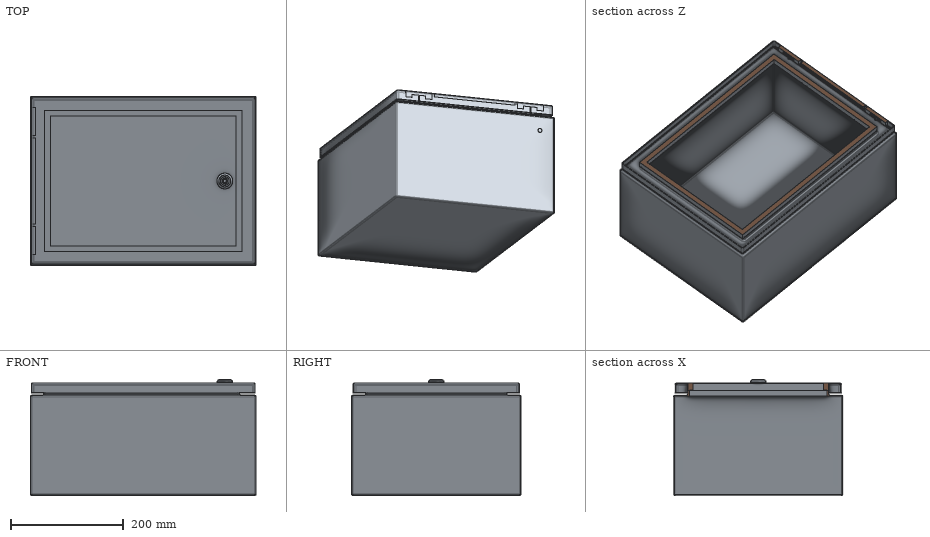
import cadquery as cq

sheet = 1.5
bend_radius = 3.0

box_length = 400.0
box_width = 300.0
box_height = 177.0
box_inner_bend = bend_radius - sheet

neck_hinge_inset = 24.0
neck_lock_inset = 29.5
neck_side_inset = 25.0
neck_top = 185.5
neck_corner = 3.0
neck_wall = 3.0
neck_base_fillet = 3.0

stud_radius = 3.5
stud_length = 6.0
stud_y = -122.5
stud_z = 150.5

door_length = 396.0
door_width = 294.5
door_bottom = 181.5
door_underside = 197.5
door_top = door_underside + sheet
door_height = door_top - door_bottom
door_inner_bend = 3.0

seal_inner_length = 329.0
seal_inner_width = 230.5
seal_width = 10.0

rail_length = 152.0
rail_depth = 6.0
rail_bottom = 193.0
lug_width = 12.0
lug_bottom = 187.5
lug_spacing = 37.5
hinge_y = 105.0
hinge_pin_width = 2.5
hinge_pin_bottom = 184.0
hinge_pin_top = 190.5

lock_x = 144.5
overall_height = 205.0
lock_height = overall_height - door_top
lock_radius = 14.0
lock_edge_height = 1.5
lock_shoulder_bulge = 0.5
lock_top_radius = 10.5
lock_recess_radius = 7.5
lock_recess_depth = 1.0
lock_hole_radius = 5.0
lock_hole_depth = 4.0
lock_pin_radius = 3.0
key_slot_width = 3.0
key_slot_depth = 3.0


def block(x_min, x_max, y_min, y_max, z_min, z_max):
    """Rectangular block between the given limits."""
    return cq.Workplane("XY").box(
        x_max - x_min, y_max - y_min, z_max - z_min, centered=False
    ).translate((x_min, y_min, z_min))


def make_box():
    body = (
        cq.Workplane("XY").box(box_length, box_width, box_height, centered=(True, True, False))
        .edges().fillet(bend_radius)
    )
    cavity = (
        cq.Workplane("XY").workplane(offset=sheet)
        .box(box_length - 2 * sheet, box_width - 2 * sheet, box_height - 2 * sheet,
             centered=(True, True, False))
        .edges().fillet(box_inner_bend)
    )
    neck_x_min = neck_hinge_inset - box_length / 2
    neck_x_max = box_length / 2 - neck_lock_inset
    neck_y = box_width / 2 - neck_side_inset
    neck = block(neck_x_min, neck_x_max, -neck_y, neck_y, box_height - sheet, neck_top)
    neck = neck.edges("|Z").fillet(neck_corner)
    opening = block(neck_x_min + neck_wall, neck_x_max - neck_wall, neck_wall - neck_y, neck_y - neck_wall,
                    box_height - 2 * sheet, neck_top)
    stud = (
        cq.Workplane("YZ", origin=(sheet - box_length / 2, stud_y, stud_z))
        .circle(stud_radius).extrude(stud_length)
    )
    shell = body.cut(cavity).union(neck)
    neck_base = cq.selectors.BoxSelector(
        (neck_x_min - neck_wall, -neck_y - neck_wall, box_height - sheet / 2),
        (neck_x_max + neck_wall, neck_y + neck_wall, box_height + sheet / 2),
    )
    shell = shell.edges(neck_base).fillet(neck_base_fillet)
    return shell.cut(opening).union(stud)


def flange_block(y, width, z_min, z_max):
    """Block centred at y that stands against the inside of the hinge-side flange."""
    x_min = sheet - door_length / 2
    return block(x_min, x_min + rail_depth, y - width / 2, y + width / 2, z_min, z_max)


def make_hinge(y):
    """Plate with a lug below each end and a pin between the lugs."""
    hinge = flange_block(y, lug_spacing, rail_bottom, door_underside)
    for lug_y in (y - lug_spacing / 2, y + lug_spacing / 2):
        hinge = hinge.union(flange_block(lug_y, lug_width, lug_bottom, door_underside))
    pin = flange_block(y, hinge_pin_width, hinge_pin_bottom, hinge_pin_top)
    return hinge.union(pin)


def make_seal():
    outer_length = seal_inner_length + 2 * seal_width
    outer_width = seal_inner_width + 2 * seal_width
    return (
        cq.Workplane("XY").workplane(offset=neck_top)
        .rect(outer_length, outer_width)
        .rect(seal_inner_length, seal_inner_width)
        .extrude(door_underside - neck_top)
    )


def make_door():
    pan = (
        cq.Workplane("XY").workplane(offset=door_bottom)
        .box(door_length, door_width, door_height, centered=(True, True, False))
        .edges("|Z or >Z").fillet(bend_radius)
    )
    hollow = (
        cq.Workplane("XY").workplane(offset=door_bottom)
        .box(door_length - 2 * sheet, door_width - 2 * sheet, door_height - sheet,
             centered=(True, True, False))
        .edges("|Z or >Z").fillet(door_inner_bend)
    )
    door_body = pan.cut(hollow).union(make_seal())
    door_body = door_body.union(flange_block(0, rail_length, rail_bottom, door_underside))
    for y in (-hinge_y, hinge_y):
        door_body = door_body.union(make_hinge(y))
    return door_body


def make_lock():
    """Turned cap with a rounded shoulder, a stepped keyhole, two key slots and a centre pin."""
    recess_floor = lock_height - lock_recess_depth
    hole_floor = lock_height - lock_hole_depth
    shoulder = (
        (lock_radius + lock_top_radius) / 2 + lock_shoulder_bulge,
        (lock_edge_height + lock_height) / 2 + lock_shoulder_bulge,
    )
    profile = (
        cq.Workplane("XZ")
        .lineTo(lock_radius, 0)
        .lineTo(lock_radius, lock_edge_height)
        .threePointArc(shoulder, (lock_top_radius, lock_height))
        .lineTo(lock_recess_radius, lock_height)
        .lineTo(lock_recess_radius, recess_floor)
        .lineTo(lock_hole_radius, recess_floor)
        .lineTo(lock_hole_radius, hole_floor)
        .lineTo(lock_pin_radius, hole_floor)
        .lineTo(lock_pin_radius, recess_floor)
        .lineTo(0, recess_floor)
        .close()
    )
    cap = profile.revolve(360, (0, 0, 0), (0, 1, 0))
    slots = block(-key_slot_width / 2, key_slot_width / 2, -lock_recess_radius, lock_recess_radius,
                  lock_height - key_slot_depth, recess_floor)
    slots = slots.cut(cq.Workplane("XY").circle(lock_hole_radius).extrude(lock_height))
    return cap.cut(slots).translate((lock_x, 0, door_top))


box = make_box()
door = make_door()
lock = make_lock()

result = cq.Compound.makeCompound([box.val(), door.val(), lock.val()])